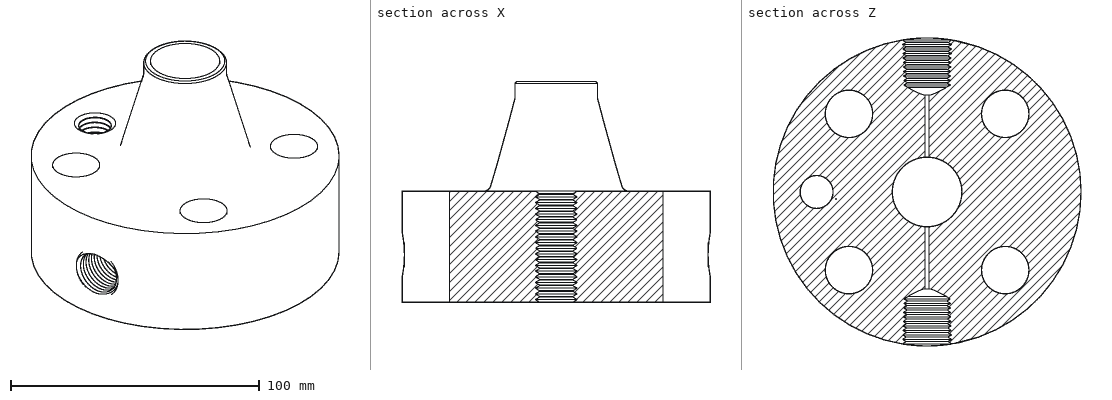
import cadquery as cq
import math

flange_diameter = 124.0
flange_thickness = 44.7
total_height = 88.9
bore_diameter = 27.9

neck_diameter = 33.3
neck_length = 6.8
neck_chamfer = 0.7
hub_base_diameter = 54.0
hub_fillet = 3.0

bolt_circle_diameter = 88.9
bolt_hole_diameter = 19.0
bolt_count = 4

jack_major_radius = 8.3
jack_minor_radius = 6.6
jack_turns = 19.5
jack_pitch = flange_thickness / jack_turns

tap_height = 19.2
tap_major_radius = 10.4
tap_minor_radius = 8.9
tap_thread_length = 21.7
tap_turns = 12
tap_pitch = tap_thread_length / tap_turns
tap_taper = 1 / 32
drill_point_angle = 118.0
tap_passage_diameter = 6.5

thread_angle = 60.0


def thread_profile(major_radius, minor_radius, pitch, turns, taper=0.0):
    """Points (radius, height) of V grooves going down from a groove root at height zero.

    The thread is simplified to separate rings, each with a narrow flat crest between two roots.
    """
    flank_height = (major_radius - minor_radius) * math.tan(math.radians(thread_angle / 2))
    points = []
    for turn in range(turns):
        root_depth = turn * pitch
        for depth, radius in (
            (root_depth, major_radius),
            (root_depth + flank_height, minor_radius),
            (root_depth + pitch - flank_height, minor_radius),
        ):
            points.append((radius - taper * depth, -depth))
    return points


def flange_body():
    """Flange disc and tapered weld neck turned about Z, with a fillet where the taper meets the disc."""
    flange_radius = flange_diameter / 2
    hub_radius = hub_base_diameter / 2
    neck_radius = neck_diameter / 2
    body = (
        cq.Workplane("XZ")
        .lineTo(flange_radius, 0)
        .lineTo(flange_radius, flange_thickness)
        .lineTo(hub_radius, flange_thickness)
        .lineTo(neck_radius, total_height - neck_length)
        .lineTo(neck_radius, total_height - neck_chamfer)
        .lineTo(neck_radius - neck_chamfer, total_height)
        .lineTo(0, total_height)
        .close()
        .revolve(360, (0, 0, 0), (0, 1, 0))
    )
    flange_face = body.faces("|Z").faces(">Z[-2]")
    return flange_face.edges(cq.selectors.RadiusNthSelector(0)).fillet(hub_fillet)


def bore_and_bolt_holes():
    """Straight bore through the neck and flange, and the bolt holes through the flange."""
    bore = cq.Workplane("XY").circle(bore_diameter / 2).extrude(total_height)
    bolt_holes = (
        cq.Workplane("XY")
        .polarArray(bolt_circle_diameter / 2, 180 / bolt_count, 360, bolt_count)
        .circle(bolt_hole_diameter / 2)
        .extrude(flange_thickness)
    )
    return bore.union(bolt_holes)


def revolved_cutter(profile):
    """Solid turned about Z from an open (radius, height) profile, closed along the axis."""
    top = profile[0][1]
    bottom = profile[-1][1]
    outline = [(0, top)] + profile + [(0, bottom)]
    return cq.Workplane("XZ").polyline(outline).close().revolve(360, (0, 0, 0), (0, 1, 0))


def jack_screw_hole():
    """Threaded hole going down from the flange face and out through the underside."""
    profile = thread_profile(
        jack_major_radius, jack_minor_radius, jack_pitch, math.ceil(jack_turns)
    )
    return revolved_cutter(profile).translate((-bolt_circle_diameter / 2, 0, flange_thickness))


def orifice_tap(side_angle):
    """Threaded tap into the rim, with its drill point and the passage on to the bore.

    Its first groove root lies half a pitch outside the rim, so a crest meets the rim.
    """
    profile = thread_profile(tap_major_radius, tap_minor_radius, tap_pitch, tap_turns, tap_taper)
    end_radius, end_height = profile[-1]
    passage_radius = tap_passage_diameter / 2
    point_length = (end_radius - passage_radius) / math.tan(math.radians(drill_point_angle / 2))
    profile.append((passage_radius, end_height - point_length))
    profile.append((passage_radius, -flange_diameter / 2))
    return (
        revolved_cutter(profile)
        .rotate((0, 0, 0), (1, 0, 0), 90)
        .translate((0, -(flange_diameter + tap_pitch) / 2, tap_height))
        .rotate((0, 0, 0), (0, 0, 1), side_angle)
    )


result = flange_body().cut(bore_and_bolt_holes()).cut(jack_screw_hole())
for side in (0, 180):
    result = result.cut(orifice_tap(side))